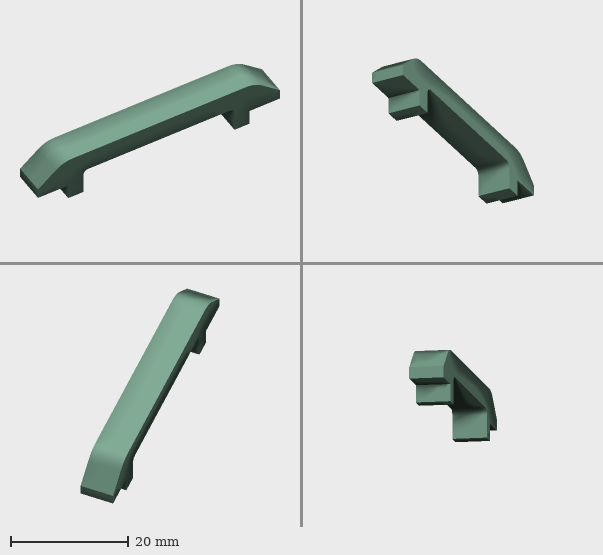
import cadquery as cq

width = 6.0
length = 48.0
height = 9.0

bar_thickness = 4.0
end_face_height = 2.0
slope_run = 5.0
shoulder_radius = 5.0

foot_height = 3.0
foot_thickness = 3.0
foot_inset = 6.0
inner_corner_radius = 1.0

half_length = length / 2
shoulder_y = half_length - slope_run
foot_outer_y = half_length - foot_inset
foot_inner_y = foot_outer_y - foot_thickness
end_top_z = foot_height + end_face_height
bar_underside_z = height - bar_thickness


def handle_blank():
    """Sharp-cornered side profile, mirrored about the middle and extruded across the width."""
    half_profile = [
        (0, height),
        (shoulder_y, height),
        (half_length, end_top_z),
        (half_length, foot_height),
        (foot_outer_y, foot_height),
        (foot_outer_y, 0),
        (foot_inner_y, 0),
        (foot_inner_y, bar_underside_z),
        (0, bar_underside_z),
    ]
    return cq.Workplane("YZ").polyline(half_profile).mirrorY().extrude(width / 2, both=True)


def edges_across(y, z):
    """Select the pair of edges that run along X at +y and -y, at height z."""
    reach = 0.1
    selector = None
    for side in (-1, 1):
        box = cq.selectors.BoxSelector(
            (-width, side * y - reach, z - reach),
            (width, side * y + reach, z + reach),
        )
        selector = box if selector is None else selector + box
    return selector


handle = handle_blank()
handle = handle.edges(edges_across(shoulder_y, height)).fillet(shoulder_radius)
handle = handle.edges(edges_across(foot_inner_y, bar_underside_z)).fillet(inner_corner_radius)

result = handle